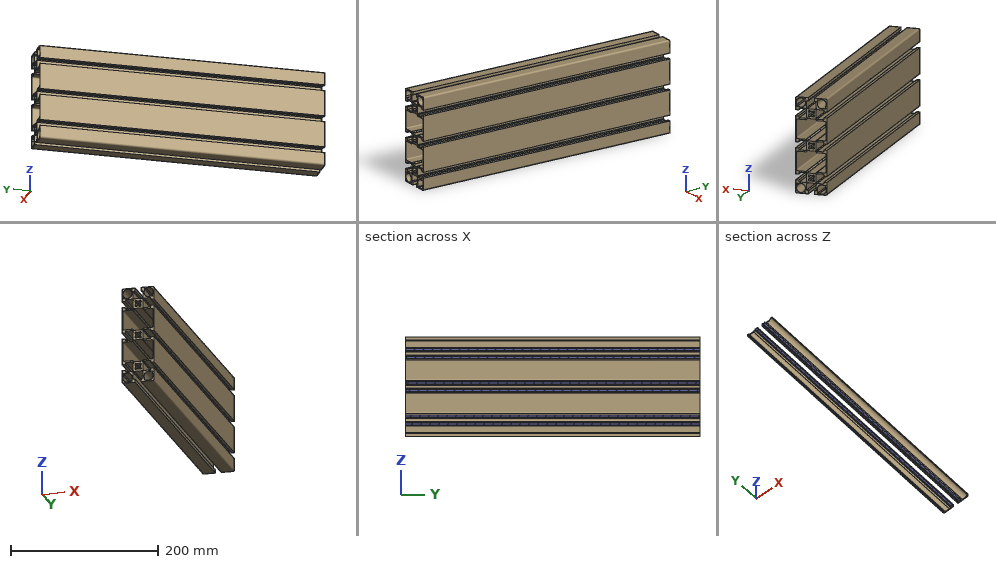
import cadquery as cq


length = 400.0
core_span = 90.0
module_pitch = core_span / 2
width = module_pitch
height = core_span + module_pitch
half_width = width / 2
corner_radius = 2.5

core_levels = [-module_pitch, 0, module_pitch]

mouth_half = 4.2
slot_half = 7.0
slot_depth = 15.5
lip_depth = 4.5
undercut_depth = 5.0
slot_chamfer = 1.0

side_wall = 1.5
slot_wall = 2.0
chamber_fillet = 1.5

bore_radius = 3.7
notch_radius = 1.0
notch_offset = 3.0

cell_wall = 1.0
cell_radius = 6.5
cell_center = cell_wall + cell_radius
cell_skin = 2.0
cell_inner_face = half_width - slot_half - slot_wall


def section_plane():
    """XZ plane at the front end, so that extrusions run along +Y."""
    return cq.Workplane("XZ", origin=(0, -length / 2, 0))


def extrude_along_y(profile):
    return profile.extrude(-length)


def box_between(x_start, x_end, z_start, z_end):
    """Full-length bar between two X and two Z positions."""
    profile = section_plane().center((x_start + x_end) / 2, (z_start + z_end) / 2)
    return extrude_along_y(profile.rect(abs(x_end - x_start), abs(z_end - z_start)))


def round_bar(x, z, radius):
    return extrude_along_y(section_plane().center(x, z).circle(radius))


def outer_block():
    block = cq.Workplane("XY").box(width, length, height)
    return block.edges("|Y").fillet(corner_radius)


def top_slot():
    """T-slot opening upwards in the top face."""
    face = height / 2
    floor = face - slot_depth
    right_side = [
        (mouth_half, face),
        (mouth_half, face - lip_depth),
        (slot_half, face - undercut_depth),
        (slot_half, floor + slot_chamfer),
        (slot_half - slot_chamfer, floor),
    ]
    left_side = [(-x, z) for x, z in reversed(right_side)]
    return extrude_along_y(section_plane().polyline(right_side + left_side).close())


def side_slot(level):
    """T-slot opening in the -X face, centred at the given height."""
    turned = top_slot().rotate((0, 0, 0), (0, 1, 0), -90)
    return turned.translate((height / 2 - half_width, 0, level))


def chamber(level):
    """Large hollow centred at the given height, with a shallow recess over each core."""
    half_x = half_width - side_wall
    half_z = module_pitch / 2 - slot_half - slot_wall
    hollow = box_between(-half_x, half_x, -half_z, half_z).edges("|Y").fillet(chamber_fillet)

    recess_top = half_z + slot_wall
    recess_half = half_width - slot_depth - slot_chamfer
    recess_base = recess_half + slot_wall
    recess = [
        (recess_base, half_z),
        (recess_half, recess_top),
        (-recess_half, recess_top),
        (-recess_base, half_z),
        (-recess_base, -half_z),
        (-recess_half, -recess_top),
        (recess_half, -recess_top),
        (recess_base, -half_z),
    ]
    hollow = hollow.union(extrude_along_y(section_plane().polyline(recess).close()))
    return hollow.translate((0, 0, level))


def core_bore(level):
    bore = round_bar(0, level, bore_radius)
    for x_side in (-1, 1):
        for z_side in (-1, 1):
            notch = round_bar(x_side * notch_offset, level + z_side * notch_offset, notch_radius)
            bore = bore.union(notch)
    return bore


def corner_cell():
    """Hole in the corner at -X, +Z."""
    left = -half_width
    top = height / 2
    x = left + cell_center
    z = top - cell_center
    hole = round_bar(x, z, cell_radius)
    hole = hole.union(box_between(x, left + cell_inner_face, z, top - cell_skin))
    return hole.union(box_between(left + cell_skin, x, z, top - cell_inner_face))


result = outer_block()

upper_slot = top_slot()
result = result.cut(upper_slot).cut(upper_slot.mirror("XY"))

for level in core_levels:
    slot = side_slot(level)
    result = result.cut(slot).cut(slot.mirror("YZ")).cut(core_bore(level))

for level in (-module_pitch / 2, module_pitch / 2):
    result = result.cut(chamber(level))

left_cell = corner_cell()
for cell in (left_cell, left_cell.mirror("YZ")):
    result = result.cut(cell).cut(cell.mirror("XY"))